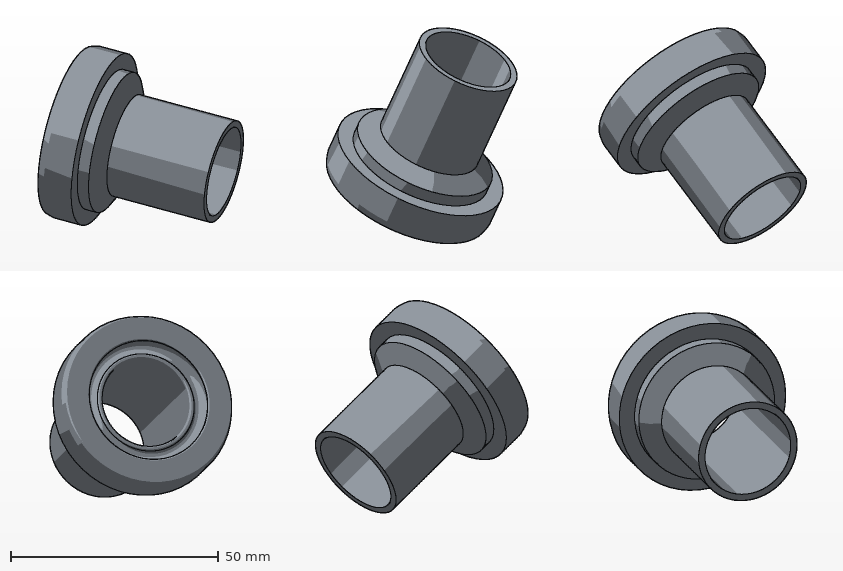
import cadquery as cq
import math

flange_radius = 21.45
collar_radius = 17.5
tube_radius = 12.7
bore_radius = 22.1 / 2

taper_end = 1.9
flange_end = 8.95
collar_end = 11.9
cone_end = 14.7
length = 40.0

taper_angle = 15.0
face_edge_rounding = 0.45

mouth_radius = 14.95
groove_inner_radius = 12.23
mouth_rounding = 0.47

lip_setback = 2.15
lip_rounding = 0.45


def make_body():
    face_radius = flange_radius - taper_end * math.tan(math.radians(taper_angle))
    outline = (
        cq.Workplane("XY")
        .lineTo(0, face_radius)
        .lineTo(taper_end, flange_radius)
        .lineTo(flange_end, flange_radius)
        .lineTo(flange_end, collar_radius)
        .lineTo(collar_end, collar_radius)
        .lineTo(cone_end, tube_radius)
        .lineTo(length, tube_radius)
        .lineTo(length, 0)
        .close()
    )
    body = outline.revolve(360, (0, 0, 0), (1, 0, 0))
    return body.faces("<X").edges().fillet(face_edge_rounding)


def make_cavity():
    """Bore, recessed lip and ring groove as one revolved cutter."""
    lip_edge = lip_setback + lip_rounding
    axial_span = lip_edge - mouth_rounding
    radial_span = mouth_radius - groove_inner_radius
    groove_bottom = (
        (mouth_rounding + lip_edge + radial_span) / 2,
        (mouth_radius + groove_inner_radius + axial_span) / 2,
    )
    arc_offset = 1 - math.sqrt(0.5)
    lip_arc = lip_setback + lip_rounding * arc_offset
    mouth_arc = mouth_rounding * arc_offset
    outline = (
        cq.Workplane("XY")
        .lineTo(0, mouth_radius + mouth_rounding)
        .threePointArc((mouth_arc, mouth_radius + mouth_arc), (mouth_rounding, mouth_radius))
        .threePointArc(groove_bottom, (lip_edge, groove_inner_radius))
        .threePointArc(
            (lip_arc, groove_inner_radius - lip_rounding * arc_offset),
            (lip_setback, groove_inner_radius - lip_rounding),
        )
        .lineTo(lip_setback, bore_radius + lip_rounding)
        .threePointArc(
            (lip_arc, bore_radius + lip_rounding * arc_offset),
            (lip_edge, bore_radius),
        )
        .lineTo(length, bore_radius)
        .lineTo(length, 0)
        .close()
    )
    return outline.revolve(360, (0, 0, 0), (1, 0, 0))


result = make_body().cut(make_cavity())